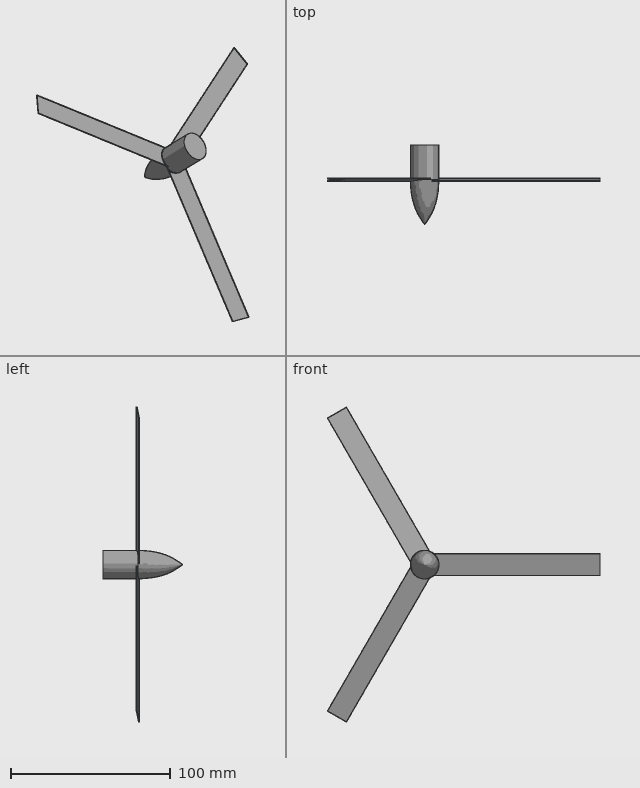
import cadquery as cq
import math


hub_diameter = 18.0
shaft_length = 22.0
nose_length = 28.0
nose_tip_half_angle = 40.0
blade_count = 3
blade_reach = 110.0
blade_width = 13.8
blade_thickness = 0.5
blade_pitch = 6.0

hub_radius = hub_diameter / 2


def make_blade(index):
    """One flat pitched blade, running from the axis out to its tip."""
    return (
        cq.Workplane("XY")
        .box(blade_reach, blade_thickness, blade_width, centered=(False, True, True))
        .rotate((0, 0, 0), (1, 0, 0), blade_pitch)
        .rotate((0, 0, 0), (0, 1, 0), -index * 360 / blade_count)
    )


def make_propeller():
    """The blades, joined where they cross on the axis."""
    propeller = make_blade(0)
    for index in range(1, blade_count):
        propeller = propeller.union(make_blade(index))
    return propeller


def make_nose(propeller):
    """Pointed spinner that leaves the shaft line tangentially, notched for the blade roots."""
    tip_angle = math.radians(nose_tip_half_angle)
    base_direction = (0, -1)
    tip_direction = (-math.sin(tip_angle), -math.cos(tip_angle))
    pointed_nose = (
        cq.Workplane("XY")
        .moveTo(0, 0)
        .lineTo(hub_radius, 0)
        .spline(
            [(0, -nose_length)],
            tangents=[base_direction, tip_direction],
            includeCurrent=True,
        )
        .close()
        .revolve(360, (0, 0, 0), (0, 1, 0))
    )
    return pointed_nose.cut(propeller)


def make_shaft(propeller):
    """Round shaft behind the blades, notched for the blade roots."""
    cylinder = cq.Workplane("XZ").circle(hub_radius).extrude(-shaft_length)
    return cylinder.cut(propeller)


propeller = make_propeller()
nose = make_nose(propeller)
shaft = make_shaft(propeller)

result = cq.Compound.makeCompound([propeller.val(), *nose.vals(), *shaft.vals()])